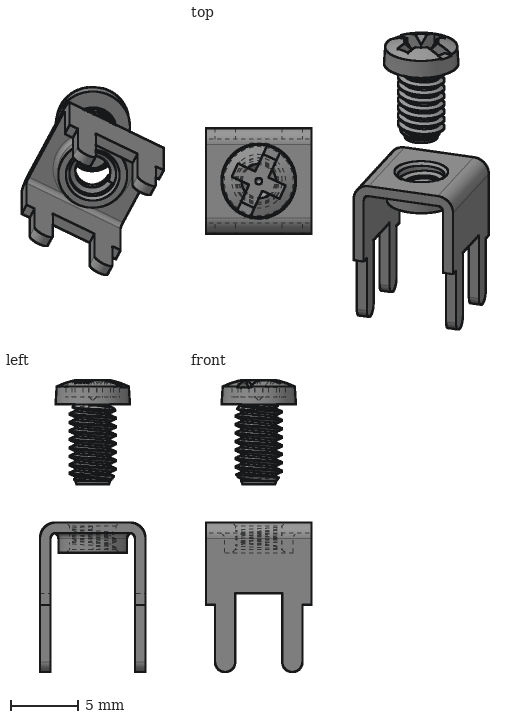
import cadquery as cq
import math

PITCH = 0.63
CORE_RADIUS = 1.3
CREST_RADIUS = 1.75
TOOTH_TIP_WIDTH = 0.07
TOOTH_FLANK_ANGLE = 24.0
EMBED = 0.05

WIDTH = 7.88
SHEET = 0.8
BRACKET_HEIGHT = 11.16
PLATE_BOTTOM_Z = BRACKET_HEIGHT - SHEET
BEND_OUTER_RADIUS = 1.2
BEND_INNER_RADIUS = BEND_OUTER_RADIUS - SHEET
SHOULDER_Z = 5.0
NOTCH_TOP_Z = 5.88
LEG_WIDTH = 1.52
LEG_SPACING = 5.0

BOSS_RADIUS = 2.57
BOSS_BOTTOM_Z = 8.88
BOSS_ROOT_FILLET = BEND_INNER_RADIUS
BORE_RADIUS = CREST_RADIUS
BORE_CHAMFER = 0.26
BORE_MOUTH_RADIUS = BORE_RADIUS + BORE_CHAMFER
NUT_THREAD_TOP_Z = 10.62
NUT_THREAD_TURNS = 2

SCREW_TOP_Z = 21.75
HEAD_BOTTOM_Z = 19.95
RIM_Z = 21.28
HEAD_BOTTOM_RADIUS = 2.79
RIM_RADIUS = 2.7

RECESS_ANGLE = 65.2
SLOT_WIDTH = 1.09
CROSS_REACH = 1.95
SLOT_FLOOR_Z = 21.2
CROSS_FLOOR_Z = 20.5
CONE_RADIUS = 1.28
CONE_DEPTH = 1.57

SHANK_BOTTOM_Z = 14.0
TIP_RADIUS = 1.22
TIP_CHAMFER_TOP_Z = 14.25
THREAD_FULL_BOTTOM_Z = 14.85
THREAD_FULL_TOP_Z = 19.39
THREAD_RADIUS_AT_HEAD = 1.35
SCREW_CREST_Z = 18.75


def revolved(points):
    """Solid of revolution about Z from (radius, z) points."""
    return cq.Workplane("XZ").polyline(points).close().revolve(360, (0, 0), (0, 1))


def centred_block(size_x, size_y, bottom_z, top_z):
    """Box centred on the Z axis between two heights."""
    base = cq.Workplane("XY", origin=(0, 0, bottom_z))
    return base.rect(size_x, size_y).extrude(top_z - bottom_z)


def thread_tooth(root_radius, tip_radius, bottom_z, turns):
    """Left-handed helical tooth whose lower end is centred at bottom_z on the +X side."""
    outward = math.copysign(1, tip_radius - root_radius)
    base_radius = root_radius - outward * EMBED
    half_tip = TOOTH_TIP_WIDTH / 2
    flank_run = abs(tip_radius - base_radius)
    half_base = half_tip + flank_run * math.tan(math.radians(TOOTH_FLANK_ANGLE))
    profile = [
        (base_radius, -half_base),
        (tip_radius, -half_tip),
        (tip_radius, half_tip),
        (base_radius, half_base),
    ]
    helix = cq.Wire.makeHelix(PITCH, turns * PITCH, CREST_RADIUS, lefthand=True)
    tooth = cq.Workplane("XZ").polyline(profile).close().sweep(cq.Workplane(helix), isFrenet=True)
    return tooth.translate((0, 0, bottom_z))


def make_channel():
    """Inverted U of bent sheet, running along X."""
    outer = centred_block(WIDTH, WIDTH, 0, BRACKET_HEIGHT)
    outer = outer.edges("|X and >Z").fillet(BEND_OUTER_RADIUS)
    inner = centred_block(WIDTH, WIDTH - 2 * SHEET, 0, PLATE_BOTTOM_Z)
    inner = inner.edges("|X and >Z").fillet(BEND_INNER_RADIUS)
    return outer.cut(inner)


def make_side_outline():
    """Outline of both side walls, with their round-ended legs, carried through along Y."""
    half_width = WIDTH / 2
    leg_outer = (LEG_SPACING + LEG_WIDTH) / 2
    leg_inner = (LEG_SPACING - LEG_WIDTH) / 2
    leg_middle = LEG_SPACING / 2
    round_z = LEG_WIDTH / 2
    return (
        cq.Workplane("XZ")
        .moveTo(-half_width, BRACKET_HEIGHT)
        .lineTo(-half_width, SHOULDER_Z)
        .lineTo(-leg_outer, SHOULDER_Z)
        .lineTo(-leg_outer, round_z)
        .threePointArc((-leg_middle, 0), (-leg_inner, round_z))
        .lineTo(-leg_inner, NOTCH_TOP_Z)
        .lineTo(leg_inner, NOTCH_TOP_Z)
        .lineTo(leg_inner, round_z)
        .threePointArc((leg_middle, 0), (leg_outer, round_z))
        .lineTo(leg_outer, SHOULDER_Z)
        .lineTo(half_width, SHOULDER_Z)
        .lineTo(half_width, BRACKET_HEIGHT)
        .close()
        .extrude(half_width, both=True)
    )


def make_boss():
    """Round boss with a fillet where it meets the plate."""
    return (
        cq.Workplane("XZ")
        .moveTo(0, BOSS_BOTTOM_Z)
        .lineTo(BOSS_RADIUS, BOSS_BOTTOM_Z)
        .lineTo(BOSS_RADIUS, PLATE_BOTTOM_Z - BOSS_ROOT_FILLET)
        .radiusArc((BOSS_RADIUS + BOSS_ROOT_FILLET, PLATE_BOTTOM_Z), BOSS_ROOT_FILLET)
        .lineTo(0, PLATE_BOTTOM_Z)
        .close()
        .revolve(360, (0, 0), (0, 1))
    )


def make_bore():
    """Bore through plate and boss, chamfered at both ends."""
    return revolved([
        (0, BOSS_BOTTOM_Z),
        (BORE_MOUTH_RADIUS, BOSS_BOTTOM_Z),
        (BORE_RADIUS, BOSS_BOTTOM_Z + BORE_CHAMFER),
        (BORE_RADIUS, BRACKET_HEIGHT - BORE_CHAMFER),
        (BORE_MOUTH_RADIUS, BRACKET_HEIGHT),
        (0, BRACKET_HEIGHT),
    ])


def make_bracket():
    body = make_channel().intersect(make_side_outline())
    body = body.union(make_boss()).cut(make_bore())
    thread_bottom_z = NUT_THREAD_TOP_Z - NUT_THREAD_TURNS * PITCH
    tooth = thread_tooth(BORE_RADIUS, CORE_RADIUS, thread_bottom_z, NUT_THREAD_TURNS)
    return body.union(tooth)


def make_head():
    """Slightly tapered head under a spherical dome, with the drive recess cut in."""
    rise = SCREW_TOP_Z - RIM_Z
    centre_z = (RIM_Z + SCREW_TOP_Z) / 2 - (RIM_RADIUS**2 - CONE_RADIUS**2) / (2 * rise)
    dome_radius = math.hypot(RIM_RADIUS, RIM_Z - centre_z)
    apex_z = centre_z + dome_radius
    head = (
        cq.Workplane("XZ")
        .moveTo(0, HEAD_BOTTOM_Z)
        .lineTo(HEAD_BOTTOM_RADIUS, HEAD_BOTTOM_Z)
        .lineTo(RIM_RADIUS, RIM_Z)
        .radiusArc((0, apex_z), -dome_radius)
        .close()
        .revolve(360, (0, 0), (0, 1))
    )
    for cutter in recess_cutters(apex_z):
        head = head.cut(cutter)
    return head.rotate((0, 0, 0), (0, 0, 1), RECESS_ANGLE)


def recess_cutters(top_z):
    """Shallow slot across the head, deeper cross, and a conical recess ending below the cross."""
    slot = centred_block(2 * HEAD_BOTTOM_RADIUS, SLOT_WIDTH, SLOT_FLOOR_Z, top_z)
    arm_along_slot = centred_block(2 * CROSS_REACH, SLOT_WIDTH, CROSS_FLOOR_Z, top_z)
    arm_across_slot = centred_block(SLOT_WIDTH, 2 * CROSS_REACH, CROSS_FLOOR_Z, top_z)
    cone = revolved([
        (0, SCREW_TOP_Z - CONE_DEPTH),
        (CONE_RADIUS, SCREW_TOP_Z),
        (CONE_RADIUS, top_z),
        (0, top_z),
    ])
    return [slot, arm_along_slot, arm_across_slot, cone]


def make_shank():
    """Chamfered core carrying a thread that fades out at both ends."""
    core = revolved([
        (0, SHANK_BOTTOM_Z),
        (TIP_RADIUS, SHANK_BOTTOM_Z),
        (CORE_RADIUS, TIP_CHAMFER_TOP_Z),
        (CORE_RADIUS, HEAD_BOTTOM_Z),
        (0, HEAD_BOTTOM_Z),
    ])
    clear_radius = CREST_RADIUS + EMBED
    envelope = revolved([
        (0, TIP_CHAMFER_TOP_Z),
        (CORE_RADIUS, TIP_CHAMFER_TOP_Z),
        (clear_radius, THREAD_FULL_BOTTOM_Z),
        (clear_radius, THREAD_FULL_TOP_Z),
        (THREAD_RADIUS_AT_HEAD, HEAD_BOTTOM_Z),
        (0, HEAD_BOTTOM_Z),
    ])
    turns_below = math.ceil((SCREW_CREST_Z - SHANK_BOTTOM_Z) / PITCH) + 1
    turns_above = math.ceil((HEAD_BOTTOM_Z - SCREW_CREST_Z) / PITCH) + 1
    tooth_bottom_z = SCREW_CREST_Z - turns_below * PITCH
    tooth = thread_tooth(CORE_RADIUS, CREST_RADIUS, tooth_bottom_z, turns_below + turns_above)
    return core.union(tooth.intersect(envelope))


def make_screw():
    return make_shank().union(make_head())


bracket = make_bracket()
screw = make_screw()
result = cq.Compound.makeCompound([bracket.solids().val(), screw.solids().val()])